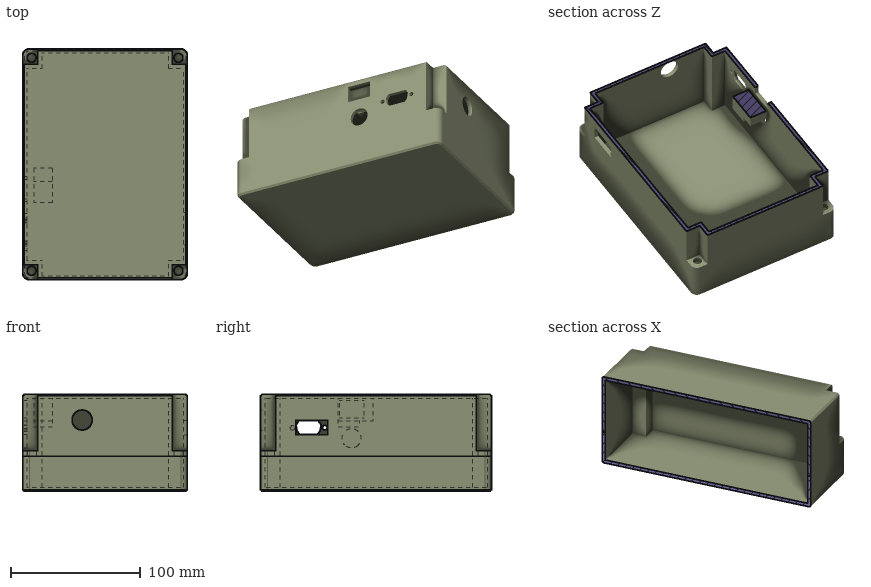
import cadquery as cq

WIDTH = 127.0
LENGTH = 177.8
HEIGHT = 74.9
WALL = 3.2
CORNER_RADIUS = 5.3
EDGE_CHAMFER = 1.5
PARTING_Z = 27.0
LEDGE_Z = 31.3

NOTCH = 11.7
SCREW_INSET = 7.0
SCREW_HOLE_DIAMETER = 7.0

SWITCH_Y, SWITCH_Z = -18.8, 63.5
SWITCH_WIDTH, SWITCH_HEIGHT = 19.2, 13.3
JACK_Y, JACK_Z, JACK_DIAMETER = -19.0, 41.0, 14.8
CONNECTOR_Y, CONNECTOR_Z = -52.0, 49.0
CONNECTOR_PROFILE = [(7.6, 5.2), (9.6, 2.1), (8.7, -2.8), (7.0, -5.2)]
CONNECTOR_SCREW_SPACING = 25.0
CONNECTOR_SCREW_DIAMETER = 3.5

CABLE_X, CABLE_Z, CABLE_DIAMETER = -17.6, 55.0, 15.5

REAR_OPENING_Y_MIN, REAR_OPENING_Y_MAX = -61.9, -37.0
REAR_OPENING_HEIGHT = 11.0

MODULE_GAP = 5.3
MODULE_DEPTH = 14.2
MODULE_Y_MIN, MODULE_Y_MAX = -29.3, -2.5
MODULE_BOTTOM_Z = 54.2
SPACER_Y_MAX = -13.0
SPACER_HEIGHT = 4.5
MODULE_X_MIN = -WIDTH / 2 + WALL + MODULE_GAP
MODULE_X_RANGE = (MODULE_X_MIN, MODULE_X_MIN + MODULE_DEPTH)


def block(x_range, y_range, z_range):
    """Box between the given limits along each axis."""
    size = [high - low for low, high in (x_range, y_range, z_range)]
    corner = (x_range[0], y_range[0], z_range[0])
    return cq.Workplane("XY").box(*size, centered=False).translate(corner)


def cross_prism(inset, z_min, z_max):
    """Rectangle with square notched corners, set in from the outer faces, between two heights."""
    half_x = WIDTH / 2
    half_y = LENGTH / 2
    z_range = (z_min, z_max)
    notch = NOTCH + inset
    along_x = block((inset - half_x, half_x - inset), (notch - half_y, half_y - notch), z_range)
    along_y = block((notch - half_x, half_x - notch), (inset - half_y, half_y - inset), z_range)
    return along_x.union(along_y)


def rounded_slab(z_min, z_max):
    """Full-size plate with rounded vertical corners."""
    slab = cq.Workplane("XY", origin=(0, 0, z_min)).rect(WIDTH, LENGTH).extrude(z_max - z_min)
    return slab.edges("|Z").fillet(CORNER_RADIUS)


def side_plane():
    """Sketch plane on the -X face: local x runs along -Y, local y along Z, the normal along -X."""
    return cq.Workplane(cq.Plane(origin=(-WIDTH / 2, 0, 0), xDir=(0, -1, 0), normal=(-1, 0, 0)))


def cut_side_openings(cover):
    """Switch window, jack hole, and D-shaped connector with its two screw holes, in the -X wall."""
    switch = side_plane().center(-SWITCH_Y, SWITCH_Z).rect(SWITCH_WIDTH, SWITCH_HEIGHT).extrude(-WALL)
    jack = side_plane().center(-JACK_Y, JACK_Z).circle(JACK_DIAMETER / 2).extrude(-WALL)

    mirrored_side = [(-half_width, height) for half_width, height in reversed(CONNECTOR_PROFILE)]
    connector = (
        side_plane()
        .center(-CONNECTOR_Y, CONNECTOR_Z)
        .polyline(CONNECTOR_PROFILE + mirrored_side)
        .close()
        .extrude(-WALL)
    )
    half_spacing = CONNECTOR_SCREW_SPACING / 2
    screws = (
        side_plane()
        .center(-CONNECTOR_Y, CONNECTOR_Z)
        .pushPoints([(-half_spacing, 0), (half_spacing, 0)])
        .circle(CONNECTOR_SCREW_DIAMETER / 2)
        .extrude(-WALL)
    )
    return cover.cut(switch).cut(jack).cut(connector).cut(screws)


def make_base():
    """Tray with a chamfered bottom rim and solid corner posts."""
    tray = rounded_slab(0, PARTING_Z).faces("<Z").chamfer(EDGE_CHAMFER)
    return tray.cut(cross_prism(WALL, WALL, PARTING_Z))


def make_cover():
    """Hollow cover with recessed corners, screw flanges and the connector openings."""
    upper = cross_prism(0, PARTING_Z, HEIGHT)
    upper = upper.faces(">Z").edges("<X or >X or <Y or >Y").chamfer(EDGE_CHAMFER)
    flange = rounded_slab(PARTING_Z, LEDGE_Z)
    cover = upper.union(flange).cut(cross_prism(WALL, PARTING_Z, HEIGHT - WALL))

    screw_holes = (
        cq.Workplane("XY", origin=(0, 0, PARTING_Z))
        .rect(WIDTH - 2 * SCREW_INSET, LENGTH - 2 * SCREW_INSET, forConstruction=True)
        .vertices()
        .circle(SCREW_HOLE_DIAMETER / 2)
        .extrude(LEDGE_Z - PARTING_Z)
    )
    cable_hole = (
        cq.Workplane("XZ", origin=(CABLE_X, -LENGTH / 2, CABLE_Z))
        .circle(CABLE_DIAMETER / 2)
        .extrude(-WALL)
    )
    rear_opening = block(
        (WIDTH / 2 - WALL, WIDTH / 2),
        (REAR_OPENING_Y_MIN, REAR_OPENING_Y_MAX),
        (CONNECTOR_Z - REAR_OPENING_HEIGHT / 2, CONNECTOR_Z + REAR_OPENING_HEIGHT / 2),
    )
    cover = cover.cut(screw_holes).cut(cable_hole).cut(rear_opening)
    return cut_side_openings(cover)


def make_module():
    """Block held against the cover roof behind the switch opening."""
    return block(MODULE_X_RANGE, (MODULE_Y_MIN, MODULE_Y_MAX), (MODULE_BOTTOM_Z, HEIGHT - WALL))


def make_spacer():
    """Low block under the -Y half of the module."""
    z_range = (MODULE_BOTTOM_Z - SPACER_HEIGHT, MODULE_BOTTOM_Z)
    return block(MODULE_X_RANGE, (MODULE_Y_MIN, SPACER_Y_MAX), z_range)


base = make_base()
cover = make_cover()
module = make_module()
spacer = make_spacer()

result = cq.Compound.makeCompound([base.val(), cover.val(), module.val(), spacer.val()])